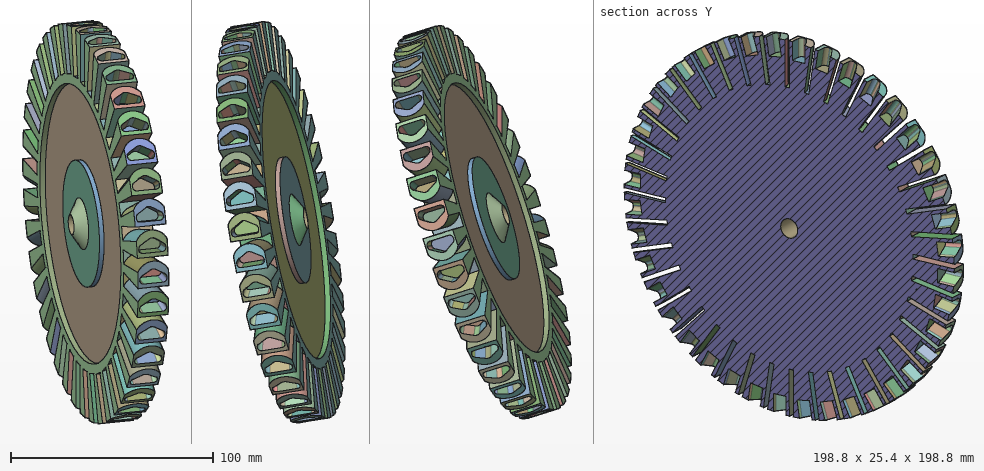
import cadquery as cq

rim_radius = 99.4
rim_half_width = 8.0
web_radius = 69.8
web_half_width = 5.2
hub_radius = 31.5
hub_half_width = 7.5

bore_radius = 5.0
boss_half_length = 12.7
boss_base_radius = 13.0

bucket_count = 40
bucket_pitch = 360.0 / bucket_count

slot_floor_radius = 74.5
slot_mid_width = 2.4
slot_face_width = 7.4
bucket_back_hollow = 0.2

pocket_depth = 10.0
pocket_half_width = 7.0
pocket_near_wall = 2.0
pocket_shoulder = 5.5
pocket_apex = 9.7
pocket_apex_fillet = 2.8
pocket_corner_fillet = 2.0


def wheel_body():
    """Revolve half of the wheel section about the Y axis."""
    section = [
        (bore_radius, boss_half_length),
        (boss_base_radius, hub_half_width),
        (hub_radius, hub_half_width),
        (hub_radius, web_half_width),
        (web_radius, web_half_width),
        (web_radius, rim_half_width),
        (rim_radius, rim_half_width),
    ]
    mirrored = [(radius, -y) for radius, y in reversed(section)]
    return cq.Workplane("XY").polyline(section + mirrored).close().revolve(360, (0, 0, 0), (0, 1, 0))


def slot_cutter():
    """Slot along +Z between the hollow back of one bucket and the rounded nose of the next."""
    return (
        cq.Workplane("XY", origin=(0, 0, slot_floor_radius))
        .moveTo(bucket_back_hollow, -rim_half_width)
        .lineTo(slot_face_width, -rim_half_width)
        .threePointArc((slot_mid_width, 0), (slot_face_width, rim_half_width))
        .lineTo(bucket_back_hollow, rim_half_width)
        .threePointArc((0, 0), (bucket_back_hollow, -rim_half_width))
        .close()
        .extrude(rim_radius)
    )


def pocket_cutter():
    """Five-sided rounded pocket along +Z, in the bucket beside the Z axis."""
    outline = [
        (-pocket_near_wall, -pocket_half_width),
        (-pocket_near_wall, pocket_half_width),
        (-pocket_shoulder, pocket_half_width),
        (-pocket_apex, 0),
        (-pocket_shoulder, -pocket_half_width),
    ]
    prism = (
        cq.Workplane("XY", origin=(0, 0, rim_radius - pocket_depth))
        .polyline(outline)
        .close()
        .extrude(rim_radius)
    )
    prism = prism.edges("|Z").edges("<X").fillet(pocket_apex_fillet)
    return prism.edges("|Z").edges("<Y or >Y").fillet(pocket_corner_fillet)


cutters = []
for cutter in (slot_cutter(), pocket_cutter()):
    for index in range(bucket_count):
        turned = cutter.rotate((0, 0, 0), (0, 1, 0), index * bucket_pitch)
        cutters.append(turned.val())

result = cq.Workplane(wheel_body().val().cut(*cutters))